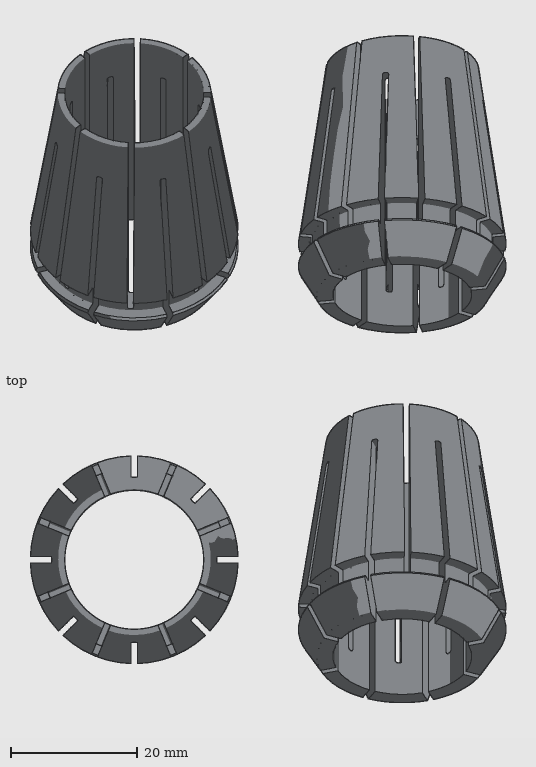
import cadquery as cq
import math

height = 40.0
max_diameter = 32.95
bore_diameter = 22.0
cone_half_angle = 8.0

foot_diameter = 27.05
collar_edge_z = 5.1
collar_top_z = 5.5
collar_top_diameter = 32.4

groove_diameter = 29.2
groove_top_z = 9.1

outer_rim_fillet = 0.3
bore_rim_fillet = 0.2
groove_root_fillet = 0.2
foot_fillet = 0.2

slots_per_end = 8
slot_width = 1.0
slot_corner_fillet = 0.4
lower_slot_top_z = 33.05
upper_slot_bottom_z = 5.95

slot_pitch = 360.0 / slots_per_end
max_radius = max_diameter / 2
bore_radius = bore_diameter / 2
foot_radius = foot_diameter / 2
groove_radius = groove_diameter / 2
cone_top_radius = max_radius - (height - groove_top_z) * math.tan(math.radians(cone_half_angle))


def fillet_ring(body, edge_radius, edge_z, fillet_radius):
    """Round the circular edge about Z that has the given radius and height."""
    margin = fillet_radius / 2
    ring_edges = cq.selectors.BoxSelector(
        (-edge_radius - margin, -edge_radius - margin, edge_z - margin),
        (edge_radius + margin, edge_radius + margin, edge_z + margin),
        boundingbox=True,
    )
    smaller_edges = cq.selectors.BoxSelector(
        (-edge_radius + margin, -edge_radius + margin, edge_z - margin),
        (edge_radius - margin, edge_radius - margin, edge_z + margin),
        boundingbox=True,
    )
    return body.edges(ring_edges - smaller_edges).fillet(fillet_radius)


def make_body():
    """Revolve the half section, then round the rim, groove root and foot edges."""
    body = (
        cq.Workplane("XZ")
        .moveTo(bore_radius, 0)
        .lineTo(foot_radius, 0)
        .lineTo(max_radius, collar_edge_z)
        .lineTo(collar_top_diameter / 2, collar_top_z)
        .lineTo(groove_radius, collar_top_z)
        .lineTo(groove_radius, groove_top_z)
        .lineTo(max_radius, groove_top_z)
        .lineTo(cone_top_radius, height)
        .lineTo(bore_radius, height)
        .close()
        .revolve(360, (0, 0, 0), (0, 1, 0))
    )
    body = fillet_ring(body, cone_top_radius, height, outer_rim_fillet)
    body = fillet_ring(body, bore_radius, height, bore_rim_fillet)
    body = fillet_ring(body, groove_radius, groove_top_z, groove_root_fillet)
    body = fillet_ring(body, groove_radius, collar_top_z, groove_root_fillet)
    return fillet_ring(body, foot_radius, 0, foot_fillet)


def make_slot_cutter(bottom_z, top_z, closed_end, angle):
    """Radial blade from the Z axis outwards, with rounded corners at its closed end."""
    blade = (
        cq.Workplane("XY")
        .box(max_radius, slot_width, top_z - bottom_z, centered=(False, True, False))
        .translate((0, 0, bottom_z))
        .faces(closed_end)
        .edges("|X")
        .fillet(slot_corner_fillet)
    )
    return blade.rotate((0, 0, 0), (0, 0, 1), angle)


result = make_body()
for index in range(slots_per_end):
    lower_angle = index * slot_pitch
    upper_angle = lower_angle + slot_pitch / 2
    result = result.cut(make_slot_cutter(0, lower_slot_top_z, ">Z", lower_angle))
    result = result.cut(make_slot_cutter(upper_slot_bottom_z, height, "<Z", upper_angle))